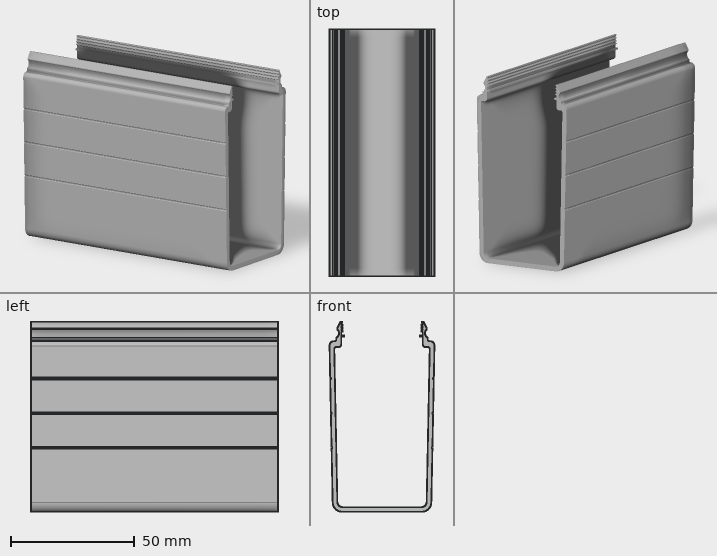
import cadquery as cq
import math

LENGTH = 100.0
WIDTH = 42.57
HEIGHT = 77.05

WALL = 2.0
WALL_TOP_Z = 67.2
WALL_LEAN = 0.02
FLOOR_OUTER_RADIUS = 4.0
FLOOR_INNER_RADIUS = FLOOR_OUTER_RADIUS - WALL

SHOULDER_Z = 69.1
SHOULDER_RADIUS = 2.0
SHOULDER_ARC_X = WIDTH / 2 - SHOULDER_RADIUS
ROOT_CHAMFER_X = 0.6
ROOT_CHAMFER_Z = 0.35
LEDGE_Z = SHOULDER_Z - 2.4
LEDGE_OUTER_RADIUS = 0.7
LEDGE_INNER_RADIUS = 1.3

NECK_OUTER_X = 18.56
NECK_INNER_X = 16.4
NECK_TOP_Z = 70.5
BARB_X = 18.2
BARB_Z = 74.3
BARB_LAND = 0.3
NECK_WAIST_X = 17.45
TIP_OUTER_X = 16.75

LIP_X = 15.35
LIP_BOTTOM_Z = 70.9
LIP_TOP_Z = 71.55

TOOTH_COUNT = 4
TOOTH_PITCH = 1.18
LOWEST_TOOTH_Z = 73.2
LOWEST_TOOTH_X = 15.8
TOOTH_TIP_STEP = 0.08
TOOTH_ROOT_X = NECK_INNER_X
TOOTH_LAND = 0.3

GROOVE_COUNT = 3
GROOVE_PITCH = 14.0
LOWEST_GROOVE_Z = 26.0
GROOVE_WIDTH = 0.9
GROOVE_FLAT = 0.4
GROOVE_DEPTH = 0.3


def wall_outer_x(z):
    """Half width of the outer wall face at height z."""
    return WIDTH / 2 - WALL_LEAN * (WALL_TOP_Z - z)


def wall_inner_x(z):
    return wall_outer_x(z) - WALL


def shoulder_point(angle):
    """Point on the rounded shoulder, angle in radians above horizontal."""
    x = SHOULDER_ARC_X + SHOULDER_RADIUS * math.cos(angle)
    z = WALL_TOP_Z + SHOULDER_RADIUS * math.sin(angle)
    return (x, z)


def tooth_tip_x(index):
    """Tip position of a tooth, counted from the lowest one."""
    return LOWEST_TOOTH_X + index * TOOTH_TIP_STEP


def tooth_points():
    """Points of the flat-tipped teeth, from the tip of the clip downward."""
    points = []
    for index in reversed(range(TOOTH_COUNT)):
        tip_x = tooth_tip_x(index)
        tip_z = LOWEST_TOOTH_Z + index * TOOTH_PITCH
        root_z = tip_z - TOOTH_PITCH / 2
        is_top_tooth = index == TOOTH_COUNT - 1
        upper_z = HEIGHT if is_top_tooth else tip_z + TOOTH_LAND / 2
        points.append((tip_x, upper_z))
        points.append((tip_x, tip_z - TOOTH_LAND / 2))
        points.append((TOOTH_ROOT_X, root_z + TOOTH_LAND / 2))
        points.append((TOOTH_ROOT_X, root_z - TOOTH_LAND / 2))
    return points


def half_section():
    """Right half of the section as a solid, closed along the plane X = 0."""
    shoulder_angle = math.asin((SHOULDER_Z - WALL_TOP_Z) / SHOULDER_RADIUS)
    barb_bottom_z = BARB_Z - BARB_LAND
    outline = (
        cq.Workplane("XZ", origin=(0, LENGTH / 2, 0))
        .moveTo(0, 0)
        .lineTo(wall_outer_x(0), 0)
        .lineTo(WIDTH / 2, WALL_TOP_Z)
        .threePointArc(shoulder_point(shoulder_angle / 2), shoulder_point(shoulder_angle))
        .lineTo(NECK_OUTER_X + ROOT_CHAMFER_X, SHOULDER_Z)
        .lineTo(NECK_OUTER_X, SHOULDER_Z + ROOT_CHAMFER_Z)
        .lineTo(NECK_OUTER_X, NECK_TOP_Z)
        .threePointArc((NECK_WAIST_X, (NECK_TOP_Z + barb_bottom_z) / 2), (BARB_X, barb_bottom_z))
        .lineTo(BARB_X, BARB_Z)
        .lineTo(TIP_OUTER_X, HEIGHT)
    )
    for point in tooth_points():
        outline = outline.lineTo(*point)
    outline = (
        outline.lineTo(NECK_INNER_X, LIP_TOP_Z)
        .lineTo(LIP_X, LIP_TOP_Z)
        .lineTo(LIP_X, LIP_BOTTOM_Z)
        .lineTo(NECK_INNER_X, LIP_BOTTOM_Z)
        .lineTo(NECK_INNER_X, LEDGE_Z)
        .lineTo(wall_inner_x(LEDGE_Z), LEDGE_Z)
        .lineTo(wall_inner_x(WALL), WALL)
        .lineTo(0, WALL)
        .close()
    )
    return outline.extrude(LENGTH)


def round_edge(body, x, z, radius):
    """Fillet the lengthwise edge passing through (x, z)."""
    edge = cq.selectors.NearestToPointSelector((x, 0, z))
    return body.edges("|Y").edges(edge).fillet(radius)


def cut_grooves(body):
    for index in range(GROOVE_COUNT):
        z = LOWEST_GROOVE_Z + index * GROOVE_PITCH
        low_z = z - GROOVE_WIDTH / 2
        high_z = z + GROOVE_WIDTH / 2
        bottom_x = wall_outer_x(z) - GROOVE_DEPTH
        groove = (
            cq.Workplane("XZ", origin=(0, LENGTH / 2, 0))
            .moveTo(wall_outer_x(low_z), low_z)
            .lineTo(bottom_x, z - GROOVE_FLAT / 2)
            .lineTo(bottom_x, z + GROOVE_FLAT / 2)
            .lineTo(wall_outer_x(high_z), high_z)
            .close()
            .extrude(LENGTH)
        )
        body = body.cut(groove)
    return body


half = half_section()
half = round_edge(half, wall_outer_x(0), 0, FLOOR_OUTER_RADIUS)
half = round_edge(half, wall_inner_x(WALL), WALL, FLOOR_INNER_RADIUS)
half = round_edge(half, wall_inner_x(LEDGE_Z), LEDGE_Z, LEDGE_OUTER_RADIUS)
half = round_edge(half, NECK_INNER_X, LEDGE_Z, LEDGE_INNER_RADIUS)
half = cut_grooves(half)

result = half.union(half.mirror("YZ")).clean()